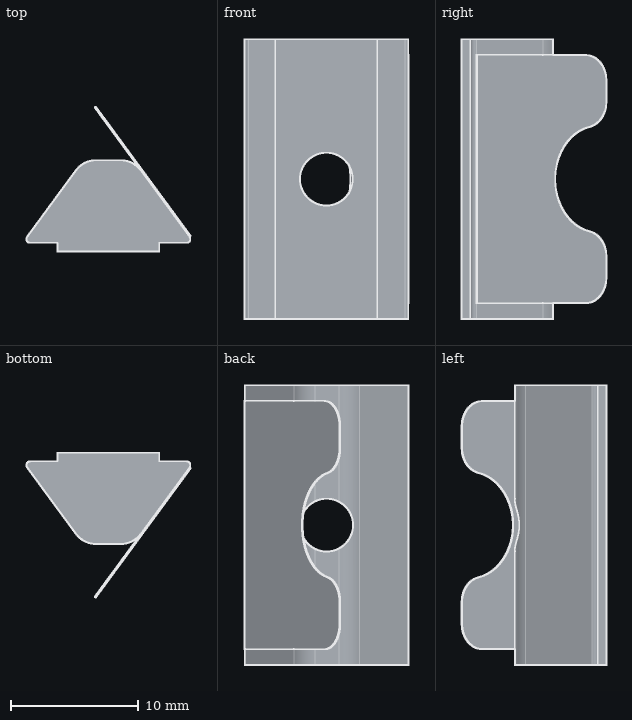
import cadquery as cq
import math

length = 22.0
half_width = 6.45
pad_half_width = 4.0
shoulder_y = 0.68
body_depth = 7.2
flank_angle = math.radians(53.7)
toe_radius = 0.3
crown_radius = 2.0
hole_diameter = 4.14

overall_depth = 11.4
plate_thickness = 0.1
plate_end_gap = 1.25
plate_corner_radius = 2.0
notch_radius = 4.18
notch_center_from_tip = 0.81

toe_center_x = half_width - toe_radius
toe_center_y = shoulder_y + toe_radius
sharp_toe_x = toe_center_x + toe_radius / math.tan(flank_angle / 2)
sharp_crown_x = sharp_toe_x - (body_depth - shoulder_y) / math.tan(flank_angle)

flank_start_x = toe_center_x + toe_radius * math.sin(flank_angle)
flank_start_y = toe_center_y + toe_radius * math.cos(flank_angle)
plate_rise = overall_depth - flank_start_y - plate_thickness * math.cos(flank_angle)
plate_length = plate_rise / math.sin(flank_angle)
plate_height = length - 2 * plate_end_gap


def make_body():
    outline = [
        (-pad_half_width, 0),
        (pad_half_width, 0),
        (pad_half_width, shoulder_y),
        (sharp_toe_x, shoulder_y),
        (sharp_crown_x, body_depth),
        (-sharp_crown_x, body_depth),
        (-sharp_toe_x, shoulder_y),
        (-pad_half_width, shoulder_y),
    ]
    body = cq.Workplane("XY").polyline(outline).close().extrude(length / 2, both=True)
    body = body.edges("|Z and >Y").fillet(crown_radius)
    body = body.edges("|Z and (<X or >X)").fillet(toe_radius)
    hole = cq.Workplane("XZ").circle(hole_diameter / 2).extrude(-body_depth)
    return body.cut(hole)


def make_spring_plate():
    flank = cq.Plane(
        origin=(flank_start_x, flank_start_y, 0),
        xDir=(-math.cos(flank_angle), math.sin(flank_angle), 0),
        normal=(math.sin(flank_angle), math.cos(flank_angle), 0),
    )
    sheet = (
        cq.Workplane(flank)
        .center(plate_length / 2, 0)
        .rect(plate_length, plate_height)
        .extrude(plate_thickness)
    )
    notch = (
        cq.Workplane(flank)
        .center(plate_length - notch_center_from_tip, 0)
        .circle(notch_radius)
        .extrude(plate_thickness)
    )
    lobes = sheet.cut(notch)
    tip_corners = lobes.faces(">Y").edges(cq.selectors.ParallelDirSelector(flank.zDir))
    return tip_corners.fillet(plate_corner_radius)


result = make_body().union(make_spring_plate())